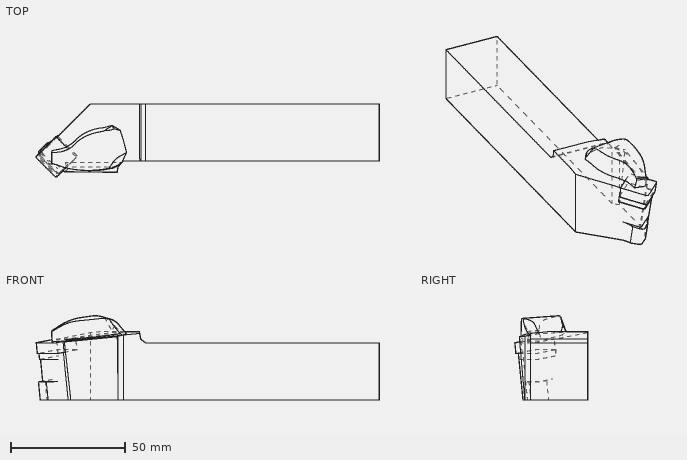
import cadquery as cq
import math


overall_length = 150
shank_size = 25.0
tip_overhang = 6.9
rake = 8

insert_side = 12.8
insert_thickness = 4.8
insert_radius = 0.8

head_top = 30.0
head_front = 5.1
head_lean = 5
seat_drop = 0.22
head_toe = 4.4
ridge_end = 45.2
ridge_foot = 45.8
ridge_foot_height = 26.7
ridge_ramp_end = 47.8
cheek_end = 35.4
cheek_foot = 35.8
cheek_foot_front = 2.4
cheek_ramp_end = 38.1

side_setback = 0.52
column_front = 0.9
column_right = 12.3
corner_radius = 1.0
column_depth = 7.5

shim_thickness = 2.7
shim_left = 0.22
shim_front = 0.6
shim_right = 12.0

nose_top = -17.2
nose_reach = -0.8
nose_radius = 1.5
nose_front_end = 5.1
nose_front_blend = 10.5
nose_side_end = 4.4
nose_side_blend = 9.3

clamp_taper = 7
clamp_nose = 6.9
nose_half_width = 2.8
nose_chamfer = 0.5
clamp_root = 0.5
lift_start = 13.4
lift_depth = 2.2
lift = 0.6
lip_start = (7.4, 3.8)
ramp_start = (7.8, 4.5)
ramp_end = (11.4, 6.3)
crest_start = (19.5, 8.2)
clamp_turn = 14.4
crest_end = 27.9
heel_ridge = (35.7, 4.8)
heel_foot = (39.5, -clamp_root)
front_facet_point = (32.1, -3.2, 35.1)
front_facet_outward = (1, -0.56, 0.58)
back_facet_point = (29.2, 13.4, 36.5)
back_facet_outward = (0.23, 1, 0.49)

reach = 90
below_seat = 1.5

corner_trim = insert_radius * (math.sqrt(2) - 1)
half_diagonal = insert_side / math.sqrt(2)
corner = (-corner_trim, half_diagonal - corner_trim - tip_overhang, shank_size)


def seated(body):
    """Tilt a body built level at the cutting corner about the front edge and move it to that corner."""
    return body.rotate((0, 0, 0), (1, -1, 0), rake).translate(corner)


def along_edge(body):
    """Turn a body so that its X axis becomes the front cutting edge, then seat it."""
    return seated(body.rotate((0, 0, 0), (0, 0, 1), -45))


def block(x_range, y_range, z_range):
    sizes = [high - low for low, high in (x_range, y_range, z_range)]
    low_corner = (x_range[0], y_range[0], z_range[0])
    return cq.Workplane("XY").box(*sizes, centered=False).translate(low_corner)


def make_insert():
    square = block((0, insert_side), (0, insert_side), (-insert_thickness, 0))
    return along_edge(square.edges("|Z").fillet(insert_radius))


def make_shank():
    profile = [
        (cheek_end, 0), (overall_length, 0), (overall_length, shank_size), (ridge_ramp_end, shank_size),
        (ridge_foot, ridge_foot_height), (ridge_end, head_top), (cheek_end, head_top),
    ]
    return cq.Workplane("XZ").polyline(profile).close().extrude(-shank_size)


def make_head():
    flank = corner[0] - corner[1] + side_setback * math.sqrt(2)
    outline = [
        (shank_size + flank, shank_size), (flank - head_front, -head_front), (cheek_end, -head_front),
        (cheek_foot, -cheek_foot_front), (cheek_ramp_end, 0), (cheek_ramp_end, shank_size),
    ]
    head = cq.Workplane("XY").polyline(outline).close().extrude(head_top)
    in_front = block((-reach, reach), (-reach, head_toe), (-reach, reach))
    leaning_face = block((-reach, reach), (-reach, 0), (-reach, reach))
    leaning_face = leaning_face.rotate((0, 0, 0), (1, 0, 0), head_lean).translate((0, -head_front, head_top))
    return head.cut(along_edge(in_front)).cut(leaning_face)


def make_column():
    """Support under the insert."""
    column_back = column_front + column_depth
    column = block((side_setback, column_right), (column_front, column_back), (-reach, -seat_drop))
    return along_edge(column.edges("|Z and <Y").fillet(corner_radius))


def make_shim():
    bottom = -insert_thickness - shim_thickness
    shim = block((shim_left, shim_right), (shim_front, insert_side), (bottom, -insert_thickness))
    return along_edge(shim.edges("|Z and <Y").fillet(corner_radius))


def make_nose():
    """Foot below the column, blended into the column front and the holder flank by concave arcs."""
    side_step = side_setback - nose_reach
    side_run = nose_side_blend - nose_side_end
    side_blend_radius = (side_step ** 2 + side_run ** 2) / (2 * side_step)
    nose = (
        cq.Workplane("XY").workplane(offset=nose_top)
        .moveTo(column_right - corner_radius, column_front)
        .lineTo(nose_front_blend, column_front)
        .tangentArcPoint((nose_front_end, nose_reach), relative=False)
        .lineTo(nose_reach + nose_radius, nose_reach)
        .radiusArc((nose_reach, nose_reach + nose_radius), nose_radius)
        .lineTo(nose_reach, nose_side_end)
        .radiusArc((side_setback, nose_side_blend), -side_blend_radius)
        .lineTo(column_right - corner_radius, nose_side_blend)
        .close().extrude(-reach)
    )
    return along_edge(nose)


def facet_cutter(point, outward):
    """Half space beyond a plane through a point, with the given outward direction."""
    return cq.Workplane(cq.Plane(origin=point, normal=outward)).rect(reach, reach).extrude(reach)


def make_clamp_outline():
    """Tapered teardrop, with its underside lifted clear of the head along the front behind the nose."""
    outline = (
        cq.Workplane("XY").workplane(offset=-clamp_root)
        .moveTo(clamp_nose, nose_chamfer - nose_half_width)
        .lineTo(clamp_nose, nose_half_width)
        .lineTo(10.8, 3.6)
        .threePointArc((14.8, 5.2), (18.3, 8.2))
        .threePointArc((24.0, 11.7), (30.0, 13.0))
        .lineTo(33.8, 14.1)
        .lineTo(37.4, 11.8)
        .lineTo(40.2, 2.5)
        .threePointArc((38.4, -1.5), (34.2, -4.8))
        .threePointArc((23.2, -6.0), (lift_start, -4.8))
        .lineTo(clamp_nose + nose_chamfer, -nose_half_width)
        .close().extrude(2 * crest_start[1], taper=clamp_taper)
    )
    return outline.cut(block((lift_start, reach), (-reach, -lift_depth), (-below_seat, lift)))


def make_clamp_crest():
    """Space under the crest: a chamfered lip at the nose, then a ramp rounded into a flat."""
    return (
        cq.Workplane("XZ")
        .moveTo(lip_start[0], -below_seat)
        .lineTo(*lip_start)
        .lineTo(*ramp_start)
        .lineTo(*ramp_end)
        .tangentArcPoint(crest_start, relative=False)
        .lineTo(reach, crest_start[1])
        .lineTo(reach, -below_seat)
        .close().extrude(reach, both=True)
    )


def make_clamp_heel():
    """Space under the heel: the flat of the crest rolls off into a steep facet."""
    return (
        cq.Workplane("XZ")
        .moveTo(-reach, -below_seat)
        .lineTo(-reach, crest_start[1])
        .lineTo(crest_end, crest_start[1])
        .tangentArcPoint(heel_ridge, relative=False)
        .lineTo(*heel_foot)
        .lineTo(heel_foot[0], -below_seat)
        .close().extrude(reach, both=True)
        .rotate((0, 0, 0), (0, 0, 1), clamp_turn)
    )


def make_clamp():
    clamp = seated(make_clamp_outline().intersect(make_clamp_crest()).intersect(make_clamp_heel()))
    clamp = clamp.cut(facet_cutter(front_facet_point, front_facet_outward))
    return clamp.cut(facet_cutter(back_facet_point, back_facet_outward))


def make_holder(insert):
    above_seat = seated(block((-reach, reach), (-reach, reach), (-seat_drop, reach)))
    below_underside = block((-reach, reach), (-reach, reach), (-2 * reach, 0))
    body = make_shank().union(make_head()).cut(above_seat)
    for part in (make_column(), make_nose(), make_shim(), make_clamp()):
        body = body.union(part)
    return body.cut(below_underside).cut(insert)


insert = make_insert()
holder = make_holder(insert)
result = cq.Compound.makeCompound([holder.val(), insert.val()])